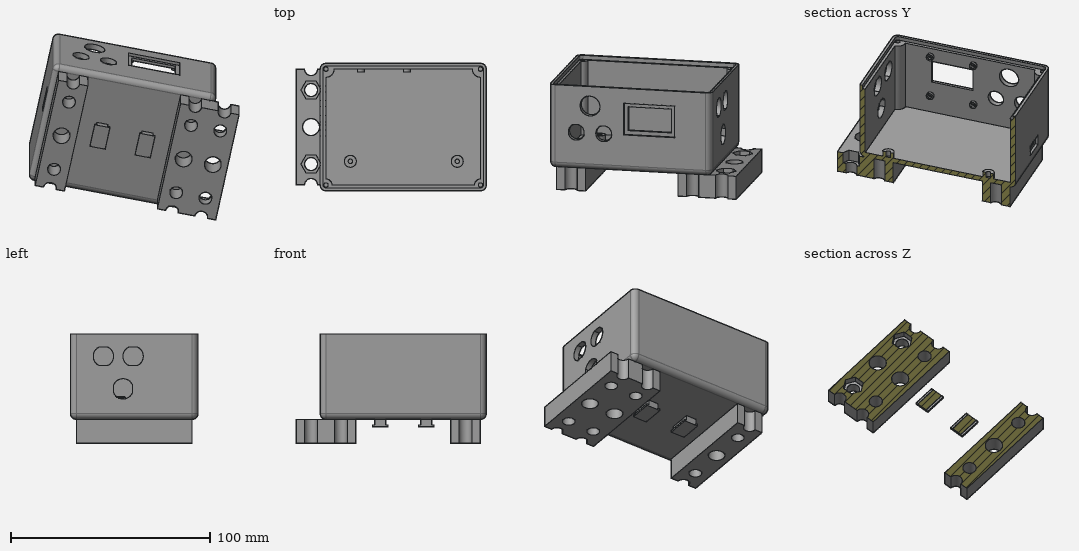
import cadquery as cq


overall_length = 95.6
box_width = 64.2
box_height = 43.0
wall = 3.0
outer_radius = wall
lid_ledge_depth = 2.0
lid_rim = wall / 2

foot_length = 15.0
foot_height = 12.0
bolt_diameter = 6.4
bolt_spacing = 37.2
middle_hole_diameter = 8.4
nut_diameter = 10.2
nut_depth = 6.0

box_length = overall_length - foot_length + wall
inner_length = box_length - 2 * wall
inner_width = box_width - 2 * wall
foot_width = inner_width
ledge_z = box_height - lid_ledge_depth

back_post_diameter = 8.2
front_post_diameter = 6.0
lid_screw_diameter = 2.2
lid_screw_depth = 9.6

standoff_diameter = 6.0
standoff_hole_diameter = 2.2
standoff_height = 3.0
standoff_spacing = 53.7
standoff_middle_x = 0.3
standoff_y = -17.2

window_length = 22.3
window_height = 12.3
window_x = -9.7
window_z = 27.2
bezel_margin = 2.0
bezel_depth = wall / 2
boss_diameter = 3.6
boss_hole_diameter = 2.0
boss_length = 1.5
boss_spacing_x = 23.1
boss_spacing_z = 23.3
boss_middle_x = -9.7
boss_middle_z = 24.7

knob_diameter = 10.2
knob_x = 20.8
knob_z = 33.0
button_diameter = 8.2
button_spacing = 14.15
button_z = 19.0

connector_diameter = 10.2
pair_flats = 9.4
pair_middle_y = 8.0
pair_spacing = 14.9
pair_z = 31.7
single_flats = 9.5
single_y = 5.6
single_z = 15.4

usb_y = 9.5
usb_z = 9.4
usb_width = 9.9
usb_height = 4.6
usb_corner_radius = 0.9
usb_step_inset = 0.6
usb_step_count = 3
plug_recess_depth = wall / 2
usb_step_depth = (wall - plug_recess_depth) / usb_step_count
plug_recess_margin = 0.5

hook_spacing = 23.1
hook_length = 12.0
hook_stem_width = 5.6
hook_flange_width = 7.8
hook_height = 3.7
hook_flange_thickness = 1.05


def block(length, width, height, bottom_z):
    """Block centred on the Z axis that rises from bottom_z."""
    return cq.Workplane("XY").workplane(offset=bottom_z).rect(length, width).extrude(height)


def upright_cylinder(diameter, height, x, y, bottom_z):
    return cq.Workplane("XY").circle(diameter / 2).extrude(height).translate((x, y, bottom_z))


def cylinder_along_y(diameter, length, x, start_y, z):
    """Cylinder that runs from start_y toward +Y."""
    return cq.Workplane("XZ").circle(diameter / 2).extrude(-length).translate((x, start_y, z))


def make_shell():
    outside = block(box_length, box_width, box_height, 0).edges("|Z").fillet(outer_radius)
    outside = outside.faces("<Z").edges().fillet(outer_radius)
    cavity = block(inner_length, inner_width, box_height - wall, wall)
    rim_recess = block(box_length - 2 * lid_rim, box_width - 2 * lid_rim, lid_ledge_depth, ledge_z)
    rim_recess = rim_recess.edges("|Z").fillet(outer_radius - lid_rim)
    return outside.cut(cavity).cut(rim_recess)


def add_corner_posts(body):
    inside = block(inner_length, inner_width, ledge_z, 0)
    for side, diameter in ((1, back_post_diameter), (-1, front_post_diameter)):
        for end in (-1, 1):
            x = end * inner_length / 2
            y = side * inner_width / 2
            post = upright_cylinder(diameter, ledge_z - wall, x, y, wall)
            screw = upright_cylinder(lid_screw_diameter, lid_screw_depth, x, y, ledge_z - lid_screw_depth)
            body = body.union(post.intersect(inside)).cut(screw)
    return body


def add_standoffs(body):
    for end in (-1, 1):
        x = standoff_middle_x + end * standoff_spacing / 2
        standoff = upright_cylinder(standoff_diameter, standoff_height, x, standoff_y, wall)
        screw = upright_cylinder(standoff_hole_diameter, standoff_height, x, standoff_y, wall)
        body = body.union(standoff).cut(screw)
    return body


def finish_back_wall(body):
    inner_y = inner_width / 2
    window = cq.Workplane("XZ").rect(window_length, window_height).extrude(-wall)
    bezel = cq.Workplane("XZ").rect(window_length + 2 * bezel_margin, window_height + 2 * bezel_margin)
    bezel = bezel.extrude(-bezel_depth).translate((0, wall - bezel_depth, 0))
    body = body.cut(window.union(bezel).translate((window_x, inner_y, window_z)))

    for end in (-1, 1):
        for level in (-1, 1):
            x = boss_middle_x + end * boss_spacing_x / 2
            z = boss_middle_z + level * boss_spacing_z / 2
            boss = cylinder_along_y(boss_diameter, boss_length, x, inner_y - boss_length, z)
            screw = cylinder_along_y(boss_hole_diameter, boss_length, x, inner_y - boss_length, z)
            body = body.union(boss).cut(screw)

    body = body.cut(cylinder_along_y(knob_diameter, wall, knob_x, inner_y, knob_z))
    for end in (-1, 1):
        x = knob_x + end * button_spacing / 2
        body = body.cut(cylinder_along_y(button_diameter, wall, x, inner_y, button_z))
    return body


def double_flat_cutter(width, height):
    """Cylinder along X through the left wall, trimmed to the given width and height."""
    cylinder = cq.Workplane("YZ").circle(connector_diameter / 2).extrude(wall)
    trim = cq.Workplane("YZ").rect(width, height).extrude(wall)
    return cylinder.intersect(trim)


def cut_left_wall(body):
    for side in (-1, 1):
        y = pair_middle_y + side * pair_spacing / 2
        opening = double_flat_cutter(connector_diameter, pair_flats)
        body = body.cut(opening.translate((-box_length / 2, y, pair_z)))
    opening = double_flat_cutter(single_flats, connector_diameter)
    return body.cut(opening.translate((-box_length / 2, single_y, single_z)))


def usb_cutter(width, height, depth):
    """Rectangular cutter that runs outward from the inner face of the right wall."""
    return cq.Workplane("YZ").rect(width, height).extrude(depth).translate((inner_length / 2, usb_y, usb_z))


def cut_usb_opening(body):
    for step in range(usb_step_count):
        inset = step * usb_step_inset
        cutter = usb_cutter(usb_width - 2 * inset, usb_height - 2 * inset, (step + 1) * usb_step_depth)
        if inset < usb_corner_radius:
            cutter = cutter.edges("|X").fillet(usb_corner_radius - inset)
        body = body.cut(cutter)
    recess_width = usb_width + 2 * plug_recess_margin
    recess_height = usb_height + 2 * plug_recess_margin
    recess = usb_cutter(recess_width, recess_height, plug_recess_depth)
    return body.cut(recess.translate((wall - plug_recess_depth, 0, 0)))


def make_foot():
    """Clamp foot with two bolt holes, a middle hole and a half-round notch at each end."""
    foot = block(foot_length, foot_width, foot_height, -foot_height)
    foot = foot.cut(upright_cylinder(middle_hole_diameter, foot_height, 0, 0, -foot_height))
    for y in (-foot_width / 2, -bolt_spacing / 2, bolt_spacing / 2, foot_width / 2):
        foot = foot.cut(upright_cylinder(bolt_diameter, foot_height, 0, y, -foot_height))
    return foot


def make_nut_foot():
    """Clamp foot with hexagonal nut pockets in its top."""
    foot = make_foot()
    for side in (-1, 1):
        nut = cq.Workplane("XY").polygon(6, nut_diameter).extrude(-nut_depth)
        foot = foot.cut(nut.translate((0, side * bolt_spacing / 2, 0)))
    return foot


def make_hook():
    stem = block(hook_stem_width, hook_length, hook_height, -hook_height)
    flange = block(hook_flange_width, hook_length, hook_flange_thickness, -hook_height)
    return stem.union(flange)


result = make_shell()
result = add_corner_posts(result)
result = add_standoffs(result)
result = finish_back_wall(result)
result = cut_left_wall(result)
result = cut_usb_opening(result)

end_foot_x = (inner_length - foot_length) / 2
for foot_x in (-end_foot_x, end_foot_x):
    result = result.union(make_foot().translate((foot_x, 0, 0)))
result = result.union(make_nut_foot().translate((-end_foot_x - foot_length, 0, 0)))

for end in (-1, 1):
    result = result.union(make_hook().translate((end * hook_spacing / 2, 0, 0)))